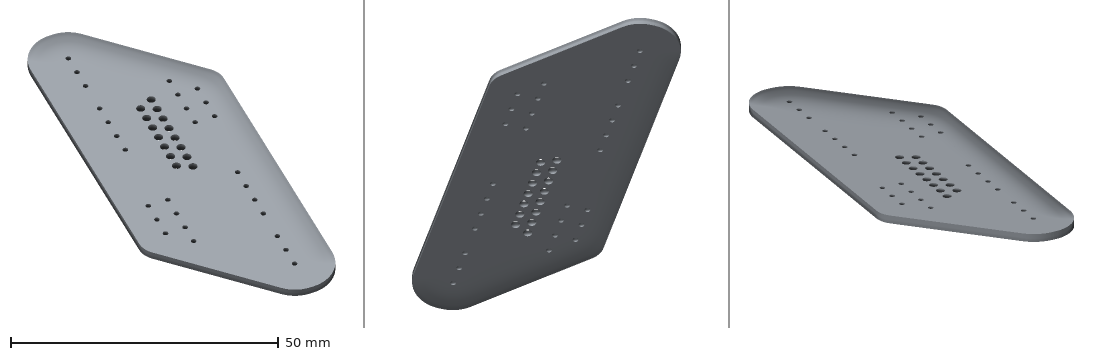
import cadquery as cq

length = 80.95
width = 32.2
thickness = 1.6
half_length = length / 2
half_width = width / 2
slant_offset = 34.9
square_corner_radius = 7.0
tip_corner_radius = 7.0
slant_corner_radius = 4.45

small_diameter = 1.05
four_hole_span = 12.0
small_pitch = four_hole_span / 3
edge_row_y = 8.4
edge_row_four_x = 7.0
edge_row_three_x = 25.5
cluster_x = -20.4
cluster_y = 6.5

connector_diameter = 1.7
connector_count = 8
connector_span = 19.4
connector_pitch = connector_span / (connector_count - 1)
connector_center_x = -7.5
connector_row_spacing = 2.75


def hole_row(first_x, y, count, pitch):
    """Centres of a row of holes running along +X."""
    return [(first_x + i * pitch, y) for i in range(count)]


def half_turn(points):
    """Points rotated by 180 degrees about the plate centre."""
    return [(-x, -y) for x, y in points]


def round_corners(body, corners, radius):
    """Fillet the vertical edges at the given corners and at their half-turn copies."""
    for x, y in corners + half_turn(corners):
        edge = cq.selectors.NearestToPointSelector((x, y, 0))
        body = body.edges("|Z").edges(edge).fillet(radius)
    return body


def make_plate():
    square_corner = (half_length, half_width)
    tip_corner = (half_length, half_length - slant_offset)
    slant_corner = (slant_offset - half_width, -half_width)
    half_outline = [square_corner, tip_corner, slant_corner]
    body = (
        cq.Workplane("XY")
        .polyline(half_outline + half_turn(half_outline))
        .close()
        .extrude(thickness / 2, both=True)
    )
    body = round_corners(body, [slant_corner], slant_corner_radius)
    body = round_corners(body, [square_corner], square_corner_radius)
    return round_corners(body, [tip_corner], tip_corner_radius)


def drill(body, centers, diameter):
    drills = (
        cq.Workplane("XY")
        .pushPoints(centers)
        .circle(diameter / 2)
        .extrude(thickness, both=True)
    )
    return body.cut(drills)


small_holes = (
    hole_row(edge_row_four_x, edge_row_y, 4, small_pitch)
    + hole_row(edge_row_three_x, edge_row_y, 3, small_pitch)
    + hole_row(cluster_x, cluster_y, 4, small_pitch)
    + hole_row(cluster_x + small_pitch, cluster_y + small_pitch, 3, small_pitch)
)

connector_x = connector_center_x - connector_span / 2
connector_y = connector_row_spacing / 2
connector_holes = (
    hole_row(connector_x, connector_y, connector_count, connector_pitch)
    + hole_row(connector_x + connector_pitch / 2, -connector_y, connector_count - 1, connector_pitch)
)

result = make_plate()
result = drill(result, small_holes + half_turn(small_holes), small_diameter)
result = drill(result, connector_holes, connector_diameter)